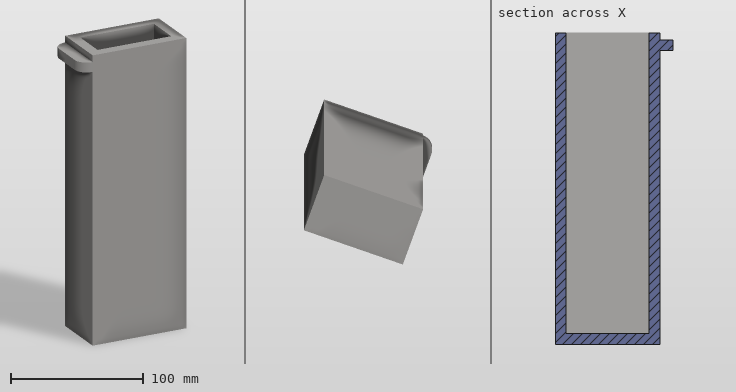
import cadquery as cq

width = 45.5
overall_depth = 89.0
height = 234.5
wall = 8.5
floor = 8.5

lip_reach = 10.0
lip_thickness = 8.0
lip_drop = 5.5
lip_corner_radius = 9.8

sleeve_depth = overall_depth - lip_reach

sleeve = cq.Workplane("XY").box(width, sleeve_depth, height, centered=(True, False, False))

pocket = (
    cq.Workplane("XY", origin=(0, wall, floor))
    .box(width - 2 * wall, sleeve_depth - 2 * wall, height - floor, centered=(True, False, False))
)

lip = (
    cq.Workplane("XY", origin=(0, -lip_reach, height - lip_drop - lip_thickness))
    .box(width, lip_reach, lip_thickness, centered=(True, False, False))
    .edges("|Z and <Y")
    .fillet(lip_corner_radius)
)

result = sleeve.cut(pocket).union(lip)